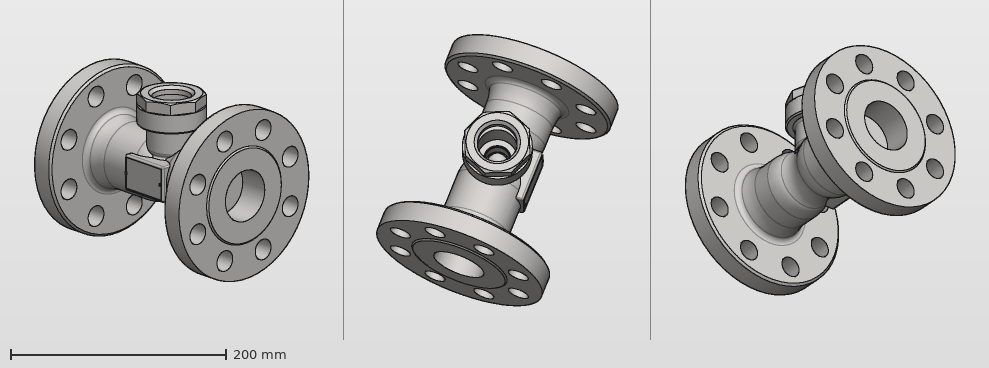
import cadquery as cq
import math

overall_length = 200.0
flange_diameter = 165.0
flange_rim_width = 19.4
flange_chamfer_width = 2.1
flange_chamfer_depth = 2.3
raised_face_diameter = 95.0
raised_face_height = 1.5
raised_face_chamfer = 1.5
bolt_circle_diameter = 127.0
bolt_hole_diameter = 20.0
bolt_count = 8
bore_diameter = 50.0
bore_depth = 30.0

hub_diameter = 71.5
hub_length = 16.0
hub_fillet_length = 4.2

pipe_diameter = 66.0
waist_x = 10.0
waist_half_length = 27.4
waist_diameter = 52.0
waist_bend_share = 0.43

neck_diameter = 47.0
neck_round_top_z = 23.3
neck_round_radius = 4.5
neck_round_angle = math.radians(40)
neck_foot_radius = 1.8
collar_diameter = 51.0
collar_bottom_z = 46.3
collar_fillet = 2.0
shoulder_diameter = 56.0
shoulder_bottom_z = 50.5
shoulder_top_z = 58.3
neck_bore_diameter = 37.0
neck_floor_z = 32.0
seat_diameter = 25.0
seat_depth = 2.0
well_diameter = 23.0
well_depth = 12.0
dome_diameter = 20.0

nut_diameter = 65.0
nut_bottom_z = 46.3
nut_bottom_chamfer = 1.5
nut_side_count = 8
nut_flats_bottom_z = 64.9
nut_top_z = 76.2
nut_top_circle = 58.0
nut_top_chamfer_height = 1.5
nut_lip_bottom_z = 68.3
nut_mouth_diameter = 43.0

pad_length = 51.6
pad_height = 35.0
pad_front_y = -35.4
pad_side_fillet = 1.6
pad_front_fillet = 2.0
sheet_length = 48.0
sheet_height = 30.4
sheet_thickness = 0.6
pin_size = 2.4
pin_height = 0.8
pin_x = 23.2


def z_cylinder(diameter, bottom_z, top_z):
    return cq.Workplane("XY").workplane(offset=bottom_z).circle(diameter / 2).extrude(top_z - bottom_z)


def make_pipe():
    """Solid pipe with both flanges, revolved about X."""
    pipe_r = pipe_diameter / 2
    hub_r = hub_diameter / 2
    end_x = overall_length / 2
    face_x = end_x - raised_face_height
    rim_x = face_x - flange_rim_width
    back_x = rim_x - flange_chamfer_width
    flange_r = flange_diameter / 2
    back_r = flange_r - flange_chamfer_depth
    hub_x = back_x - hub_fillet_length
    hub_start_x = hub_x - hub_length
    hub_rise = hub_r - pipe_r
    hub_flare_radius = (hub_length**2 + hub_rise**2) / (2 * hub_rise)
    flare_slope = math.asin(hub_length / hub_flare_radius)
    fillet_radius = hub_fillet_length / (1 - math.sin(flare_slope))
    root_r = hub_r + fillet_radius * math.cos(flare_slope)
    face_r = raised_face_diameter / 2

    waist_r = waist_diameter / 2
    dip = pipe_r - waist_r
    bend_angle = 2 * math.atan(dip / waist_half_length)
    bend_x = waist_half_length * waist_bend_share
    bend_r = waist_r + bend_x * math.tan(bend_angle / 2)

    inner_radius = bend_x / math.sin(bend_angle)
    outer_radius = (waist_half_length - bend_x) / math.sin(bend_angle)

    profile = (
        cq.Workplane("XY")
        .moveTo(-end_x, 0)
        .lineTo(-end_x, face_r - raised_face_chamfer)
        .lineTo(-face_x, face_r)
        .lineTo(-face_x, flange_r)
        .lineTo(-rim_x, flange_r)
        .lineTo(-back_x, back_r)
        .lineTo(-back_x, root_r)
        .radiusArc((-hub_x, hub_r), -fillet_radius)
        .radiusArc((-hub_start_x, pipe_r), -hub_flare_radius)
        .lineTo(waist_x - waist_half_length, pipe_r)
        .radiusArc((waist_x - bend_x, bend_r), outer_radius)
        .radiusArc((waist_x, waist_r), -inner_radius)
        .radiusArc((waist_x + bend_x, bend_r), -inner_radius)
        .radiusArc((waist_x + waist_half_length, pipe_r), outer_radius)
        .lineTo(hub_start_x, pipe_r)
        .radiusArc((hub_x, hub_r), -hub_flare_radius)
        .radiusArc((back_x, root_r), -fillet_radius)
        .lineTo(back_x, back_r)
        .lineTo(rim_x, flange_r)
        .lineTo(face_x, flange_r)
        .lineTo(face_x, face_r)
        .lineTo(end_x, face_r - raised_face_chamfer)
        .lineTo(end_x, 0)
        .close()
    )
    return profile.revolve(360, (0, 0, 0), (1, 0, 0))


def make_end_holes(side):
    """Blind bore and flange bolt holes at one end, cut inward from the end face."""
    end = cq.Workplane("YZ", origin=(side * overall_length / 2, 0, 0))
    bolt_depth = raised_face_height + flange_rim_width + flange_chamfer_width
    bolts = (
        end.polarArray(bolt_circle_diameter / 2, 180 / bolt_count, 360, bolt_count)
        .circle(bolt_hole_diameter / 2)
        .extrude(-side * bolt_depth)
    )
    bore = end.circle(bore_diameter / 2).extrude(-side * bore_depth)
    return bolts.union(bore)


def make_neck():
    """Neck revolved about Z: waisted foot, straight tube, collar and shoulder."""
    neck_r = neck_diameter / 2
    collar_r = collar_diameter / 2
    shoulder_r = shoulder_diameter / 2
    turn_sin = math.sin(neck_round_angle)
    turn_cos = math.cos(neck_round_angle)
    turn_r = neck_r - neck_round_radius * (1 - turn_cos)
    turn_z = neck_round_top_z - neck_round_radius * turn_sin
    foot_r = turn_r + neck_foot_radius * turn_cos
    foot_z = turn_z - neck_foot_radius * (1 + turn_sin)
    return (
        cq.Workplane("XZ")
        .moveTo(0, foot_z)
        .lineTo(foot_r, foot_z)
        .radiusArc((turn_r, turn_z), neck_foot_radius)
        .radiusArc((neck_r, neck_round_top_z), -neck_round_radius)
        .lineTo(neck_r, collar_bottom_z - collar_fillet)
        .radiusArc((collar_r, collar_bottom_z), collar_fillet)
        .lineTo(collar_r, shoulder_bottom_z)
        .lineTo(shoulder_r, shoulder_bottom_z)
        .lineTo(shoulder_r, shoulder_top_z)
        .lineTo(0, shoulder_top_z)
        .close()
        .revolve(360, (0, 0, 0), (0, 1, 0))
    )


def make_neck_hole():
    seat_z = neck_floor_z - seat_depth
    well_z = seat_z - well_depth
    bore = z_cylinder(neck_bore_diameter, neck_floor_z, shoulder_top_z)
    seat = z_cylinder(seat_diameter, seat_z, neck_floor_z)
    well = z_cylinder(well_diameter, well_z, seat_z)
    dome = cq.Workplane("XY", origin=(0, 0, well_z)).sphere(dome_diameter / 2)
    return bore.union(seat).union(well).cut(dome)


def make_plate():
    """Rounded pad reaching out of the pipe, its raised sheet and a square pin at each end of it."""
    pad = cq.Workplane("XZ").rect(pad_length, pad_height).extrude(-pad_front_y)
    pad = pad.edges("|Y").fillet(pad_side_fillet)
    pad = pad.faces("<Y").edges().fillet(pad_front_fillet)
    front = cq.Workplane("XZ", origin=(0, pad_front_y, 0))
    sheet = front.rect(sheet_length, sheet_height).extrude(sheet_thickness)
    pins = (
        front.pushPoints([(-pin_x, 0), (pin_x, 0)])
        .rect(pin_size, pin_size)
        .extrude(sheet_thickness + pin_height)
    )
    return pad.union(sheet).union(pins)


def make_body():
    body = make_pipe().union(make_neck()).union(make_plate())
    for side in (-1, 1):
        body = body.cut(make_end_holes(side))
    return body.cut(make_neck_hole())


def make_nut():
    collar = z_cylinder(nut_diameter, nut_bottom_z, nut_flats_bottom_z)
    collar = collar.faces("<Z").edges().chamfer(nut_bottom_chamfer)
    flats = (
        cq.Workplane("XY", origin=(0, 0, nut_flats_bottom_z))
        .polygon(nut_side_count, nut_diameter)
        .extrude(nut_top_z - nut_flats_bottom_z)
    )
    nut_r = nut_diameter / 2
    crown = (
        cq.Workplane("XZ")
        .moveTo(0, nut_bottom_z)
        .lineTo(nut_r, nut_bottom_z)
        .lineTo(nut_r, nut_top_z - nut_top_chamfer_height)
        .lineTo(nut_top_circle / 2, nut_top_z)
        .lineTo(0, nut_top_z)
        .close()
        .revolve(360, (0, 0, 0), (0, 1, 0))
    )
    lip_r = neck_bore_diameter / 2
    mouth_r = nut_mouth_diameter / 2
    hole = (
        cq.Workplane("XZ")
        .moveTo(0, nut_bottom_z)
        .lineTo(collar_diameter / 2, nut_bottom_z)
        .lineTo(collar_diameter / 2, shoulder_bottom_z)
        .lineTo(shoulder_diameter / 2, shoulder_bottom_z)
        .lineTo(shoulder_diameter / 2, nut_lip_bottom_z)
        .lineTo(lip_r, nut_lip_bottom_z)
        .lineTo(lip_r, nut_top_z - (mouth_r - lip_r))
        .lineTo(mouth_r, nut_top_z)
        .lineTo(0, nut_top_z)
        .close()
        .revolve(360, (0, 0, 0), (0, 1, 0))
    )
    return collar.union(flats.intersect(crown)).cut(hole)


body = make_body()
nut = make_nut()
result = cq.Compound.makeCompound([body.val(), nut.val()])